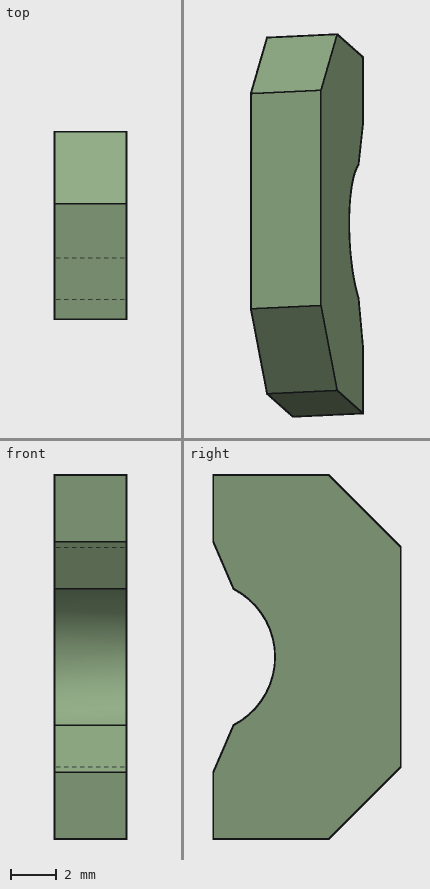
import cadquery as cq

thickness = 3.17
depth = 8.25
height = 16.0
corner_chamfer = 3.17

mouth_half_height = 5.07
seat_half_height = 3.0
taper_depth = 0.9
seat_depth = 2.72

plate = (
    cq.Workplane("XY")
    .box(thickness, depth, height)
    .edges("|X and >Y")
    .chamfer(corner_chamfer)
)

front_y = -depth / 2
taper_end_y = front_y + taper_depth
mouth = (
    cq.Workplane("YZ")
    .moveTo(front_y, -mouth_half_height)
    .lineTo(taper_end_y, -seat_half_height)
    .threePointArc((front_y + seat_depth, 0), (taper_end_y, seat_half_height))
    .lineTo(front_y, mouth_half_height)
    .close()
    .extrude(thickness / 2, both=True)
)

result = plate.cut(mouth)